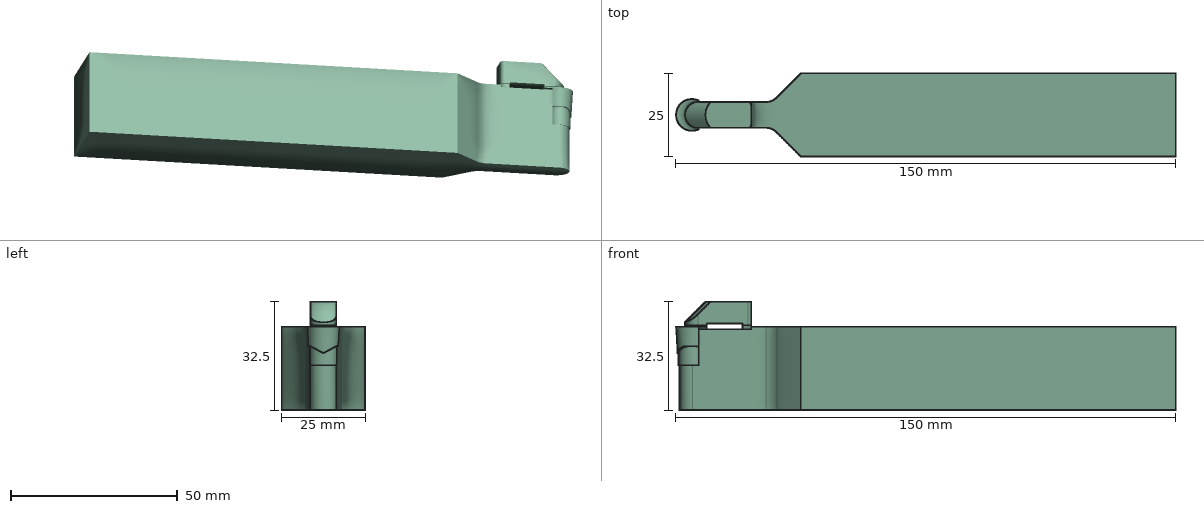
import cadquery as cq
import math

LENGTH = 150.0
SHANK_SIZE = 25.0
NECK_WIDTH = 7.8
NOSE_CENTER_X = 5.0
TAPER_END_X = 37.5
FLANK_FILLET = 4.5
NECK_RECESS = 0.8

TIP_HEIGHT = 11.5
TIP_BACK_X = 6.9
SUPPORT_RADIUS = 4.0

INSERT_TOP_RADIUS = 4.8
INSERT_BOTTOM_RADIUS = 4.4
V_CENTER_DEPTH = 8.0
V_EDGE_DEPTH = 5.8
TAIL_WIDTH = 4.5
TAIL_END_X = 9.3

CLAMP_TOP_Z = 32.5
CLAMP_FRONT_X = 2.7
CLAMP_SLOPE_TOP_X = 8.8
CLAMP_SLOPE_RADIUS = 7.6
CLAMP_REAR_X = 22.6
CLAMP_REAR_FILLET = 1.0
CLAMP_GAP = 0.9
FOOT_LENGTH = 2.7
PAD_WIDTH = 6.9
PAD_HEIGHT = 0.5

half_shank = SHANK_SIZE / 2
half_neck = NECK_WIDTH / 2
neck_top_z = SHANK_SIZE - NECK_RECESS
flank_start_x = TAPER_END_X - (half_shank - half_neck)
tip_bottom_z = SHANK_SIZE - TIP_HEIGHT
v_edge_z = SHANK_SIZE - V_EDGE_DEPTH
clamp_nose_center_x = CLAMP_FRONT_X + half_neck
pad_top_z = SHANK_SIZE + PAD_HEIGHT
clamp_gap_top_z = SHANK_SIZE + CLAMP_GAP
foot_start_x = CLAMP_REAR_X - FOOT_LENGTH


def block(x_start, x_end, width, z_start, z_end):
    """Box centred on the XZ plane."""
    size = (x_end - x_start, width, z_end - z_start)
    return cq.Workplane("XY").box(*size, centered=(False, True, False)).translate((x_start, 0, z_start))


tip_space = block(0, TIP_BACK_X, SHANK_SIZE, tip_bottom_z, SHANK_SIZE)


def make_shank():
    """Square shank that narrows through filleted 45 degree flanks to a round-nosed neck."""
    shank = (
        cq.Workplane("XY")
        .moveTo(NOSE_CENTER_X, -half_neck)
        .lineTo(flank_start_x, -half_neck)
        .lineTo(TAPER_END_X, -half_shank)
        .lineTo(LENGTH, -half_shank)
        .lineTo(LENGTH, half_shank)
        .lineTo(TAPER_END_X, half_shank)
        .lineTo(flank_start_x, half_neck)
        .lineTo(NOSE_CENTER_X, half_neck)
        .threePointArc((NOSE_CENTER_X - half_neck, 0), (NOSE_CENTER_X, -half_neck))
        .close()
        .extrude(SHANK_SIZE)
    )
    corner_margin = FLANK_FILLET / 10
    flank_corners = cq.selectors.BoxSelector(
        (flank_start_x - corner_margin, -half_shank, 0),
        (flank_start_x + corner_margin, half_shank, SHANK_SIZE),
    )
    shank = shank.edges("|Z").edges(flank_corners).fillet(FLANK_FILLET)
    return shank.cut(block(0, CLAMP_REAR_X, SHANK_SIZE, neck_top_z, SHANK_SIZE))


def make_support():
    """Round support with a flat back that carries the insert tip."""
    support = (
        cq.Workplane("XY", origin=(INSERT_TOP_RADIUS, 0, tip_bottom_z))
        .circle(SUPPORT_RADIUS)
        .extrude(TIP_HEIGHT)
    )
    return support.intersect(tip_space)


def make_insert_space():
    """Everything above the V-shaped seat, which is flat outside the neck width."""
    return (
        cq.Workplane("YZ")
        .moveTo(0, SHANK_SIZE - V_CENTER_DEPTH)
        .lineTo(half_neck, v_edge_z)
        .lineTo(INSERT_TOP_RADIUS, v_edge_z)
        .lineTo(INSERT_TOP_RADIUS, SHANK_SIZE)
        .lineTo(-INSERT_TOP_RADIUS, SHANK_SIZE)
        .lineTo(-INSERT_TOP_RADIUS, v_edge_z)
        .lineTo(-half_neck, v_edge_z)
        .close()
        .extrude(TAIL_END_X)
    )


def make_insert(insert_space):
    """Insert with a tapered round tip, a narrow tail and a V-shaped bottom."""
    cone = (
        cq.Workplane("XY", origin=(INSERT_TOP_RADIUS, 0, SHANK_SIZE - V_CENTER_DEPTH))
        .circle(INSERT_BOTTOM_RADIUS)
        .workplane(offset=V_CENTER_DEPTH)
        .circle(INSERT_TOP_RADIUS)
        .loft()
    )
    tail = block(INSERT_TOP_RADIUS, TAIL_END_X, TAIL_WIDTH, tip_bottom_z, SHANK_SIZE)
    return cone.intersect(tip_space).union(tail).intersect(insert_space)


def make_clamp_nose_crown():
    """Long bar with a crowned front, running up at 45 degrees, that shapes the sloping nose."""
    crown_depth = CLAMP_SLOPE_RADIUS - math.sqrt(CLAMP_SLOPE_RADIUS**2 - half_neck**2)
    slope_plane = cq.Plane(
        origin=(CLAMP_SLOPE_TOP_X, 0, CLAMP_TOP_Z), xDir=(1, 0, -1), normal=(1, 0, 1)
    )
    return (
        cq.Workplane(slope_plane)
        .moveTo(crown_depth, -half_neck)
        .threePointArc((0, 0), (crown_depth, half_neck))
        .lineTo(CLAMP_REAR_X, half_neck)
        .lineTo(CLAMP_REAR_X, -half_neck)
        .close()
        .extrude(CLAMP_TOP_Z, both=True)
    )


def clamp_layer(width, z_start, z_end):
    """Layer of the clamp arm with a round front and filleted rear corners."""
    straight = block(clamp_nose_center_x, CLAMP_REAR_X, width, z_start, z_end)
    straight = straight.edges("|Z and >X").fillet(CLAMP_REAR_FILLET)
    nose = (
        cq.Workplane("XY", origin=(clamp_nose_center_x, 0, z_start))
        .circle(width / 2)
        .extrude(z_end - z_start)
    )
    return straight.union(nose)


def make_clamp():
    """Clamp arm: crowned nose with a pad on the insert, raised middle, foot on the neck."""
    upper = clamp_layer(NECK_WIDTH, pad_top_z, CLAMP_TOP_Z).intersect(make_clamp_nose_crown())
    lower = clamp_layer(PAD_WIDTH, neck_top_z, pad_top_z)
    under_pad = block(0, foot_start_x, SHANK_SIZE, neck_top_z, SHANK_SIZE)
    gap = block(TAIL_END_X, foot_start_x, SHANK_SIZE, SHANK_SIZE, clamp_gap_top_z)
    return upper.union(lower).cut(under_pad).cut(gap)


def make_holder(insert, insert_space):
    """Shank, insert support and clamp arm in one piece, with the insert's seat cut out."""
    neck_and_shank = make_shank().cut(tip_space)
    support = make_support().cut(insert_space)
    return neck_and_shank.union(support).union(make_clamp()).cut(insert)


insert_space = make_insert_space()
insert = make_insert(insert_space)
holder = make_holder(insert, insert_space)

result = cq.Compound.makeCompound([*holder.solids().vals(), *insert.solids().vals()])